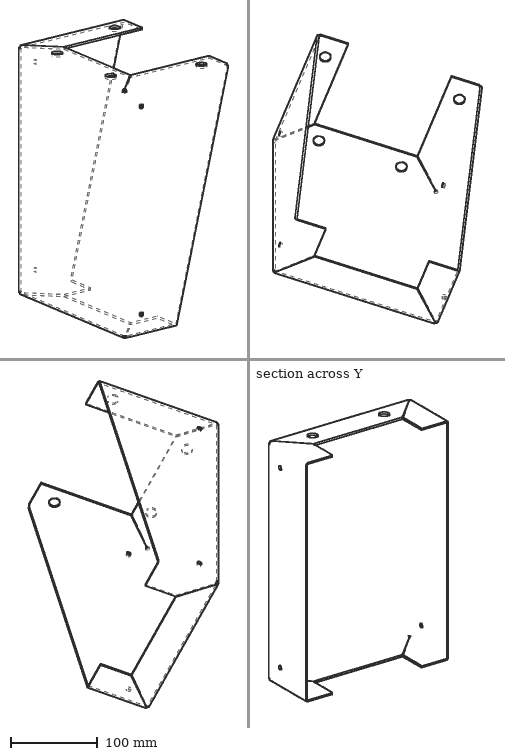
import cadquery as cq
import math

width = 203.2
height = 304.8
top_depth = 152.4
bottom_depth = top_depth / 2
flange_width = 38.1

thickness = 2.66
inner_radius = 1.0
bend = inner_radius + thickness
miter_setback = 0.15
miter_opening = 0.6

mount_hole_diameter = 12.7
mount_hole_inset = flange_width / 2
rear_hole_from_back = 25.4
front_hole_from_side = 50.8

side_hole_diameter = 5.11
side_hole_inset = 25.4

rear_slope = (top_depth - bottom_depth) / height
lower_bend_depth = bottom_depth + rear_slope * bend
upper_bend_depth = top_depth - rear_slope * bend


def quarter_bend(plane, length):
    """Quarter tube around the plane origin, in its (-x, -y) quadrant, extruded along its normal."""
    diagonal = math.sqrt(0.5)
    return (
        cq.Workplane(plane)
        .moveTo(-bend, 0)
        .threePointArc((-bend * diagonal, -bend * diagonal), (0, -bend))
        .lineTo(0, -inner_radius)
        .threePointArc((-inner_radius * diagonal, -inner_radius * diagonal), (-inner_radius, 0))
        .close()
        .extrude(length)
    )


def flange_plate(points):
    """Flat flange at the bottom of the hood."""
    return cq.Workplane("XY").polyline(points).close().extrude(thickness)


def front_panel():
    return cq.Workplane("XY").box(
        width - 2 * bend, thickness, height - 2 * bend, centered=(True, False, False)
    ).translate((0, 0, bend))


def side_panel():
    """Left panel with its tapered rear edge and two small holes."""
    plate = (
        cq.Workplane("YZ", origin=(-width / 2, 0, 0))
        .moveTo(bend, bend)
        .lineTo(lower_bend_depth, bend)
        .lineTo(upper_bend_depth, height - bend)
        .lineTo(bend, height - bend)
        .close()
        .extrude(thickness)
    )
    holes = (
        cq.Workplane("YZ", origin=(-width / 2, 0, 0))
        .pushPoints([(side_hole_inset, side_hole_inset), (side_hole_inset, height - side_hole_inset)])
        .circle(side_hole_diameter / 2)
        .extrude(thickness)
    )
    return plate.cut(holes)


def corner_bend():
    """Left vertical bend joining the front and side panels."""
    return quarter_bend(cq.Plane((bend - width / 2, bend, bend), (1, 0, 0), (0, 0, 1)), height - 2 * bend)


def front_flange():
    """Bottom flange of the front panel, with its bend."""
    bend_end = width / 2 - bend
    bend_tube = quarter_bend(cq.Plane((-bend_end, bend, bend), (0, 1, 0), (1, 0, 0)), 2 * bend_end)
    outer_x = bend_end - miter_setback
    inner_x = width / 2 - flange_width - miter_opening
    plate = flange_plate(
        [(-outer_x, bend), (outer_x, bend), (inner_x, flange_width), (-inner_x, flange_width)]
    )
    return bend_tube.union(plate)


def side_flange(bend_depth, flange_depth):
    """Bottom flange of the left panel, with its bend."""
    bend_x = bend - width / 2
    inner_x = flange_width - width / 2
    bend_tube = quarter_bend(cq.Plane((bend_x, bend_depth, bend), (1, 0, 0), (0, -1, 0)), bend_depth - bend)
    plate = flange_plate(
        [
            (bend_x, bend + miter_setback),
            (inner_x, flange_width + miter_opening),
            (inner_x, flange_depth),
            (bend_x, flange_depth),
        ]
    )
    return bend_tube.union(plate)


def to_top(flange):
    """Bottom flange mirrored about mid-height."""
    return flange.mirror("XY", (0, 0, height / 2))


def drill_mount_holes(body):
    """Mounting holes through the top flanges only."""
    rear_x = width / 2 - mount_hole_inset
    rear_y = top_depth - rear_hole_from_back
    front_x = width / 2 - front_hole_from_side
    centers = []
    for side in (-1, 1):
        centers.append((side * rear_x, rear_y))
        centers.append((side * front_x, mount_hole_inset))
    holes = (
        cq.Workplane("XY", origin=(0, 0, height - thickness))
        .pushPoints(centers)
        .circle(mount_hole_diameter / 2)
        .extrude(thickness)
    )
    return body.cut(holes)


left_side = (
    side_panel()
    .union(corner_bend())
    .union(side_flange(lower_bend_depth, lower_bend_depth))
    .union(to_top(side_flange(upper_bend_depth, top_depth)))
)
front = front_panel().union(front_flange()).union(to_top(front_flange()))
hood = front.union(left_side).union(left_side.mirror("YZ"))
result = drill_mount_holes(hood)